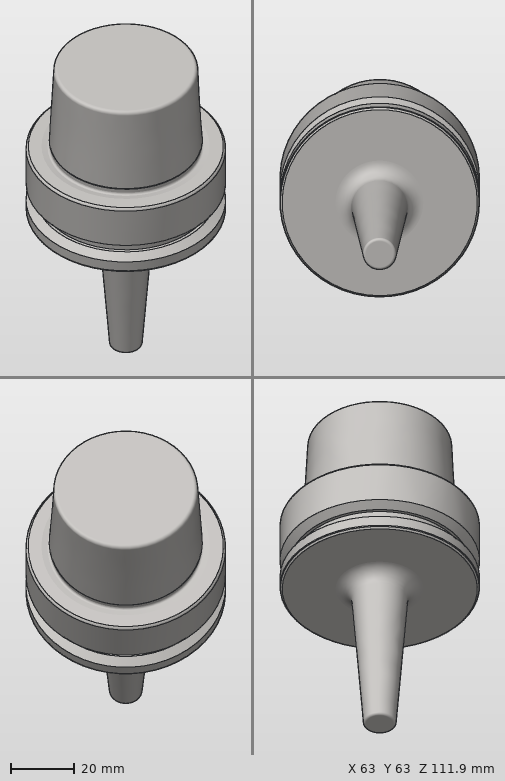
import cadquery as cq
import math

total_height = 111.9
flange_top = 80.0
flange_bottom = 54.0
taper_bottom = 82.4
neck_top = 81.8
groove_top = 65.2
groove_bottom = 58.5
groove_flank_angle = math.radians(30)

flange_radius = 31.5
groove_radius = 27.5
groove_wall_radius = 28.5
taper_base_radius = 24.2
taper_top_radius = 22.7
neck_radius = 23.8
relief_radius = 26.5
nose_tip_radius = 5.1
nose_root_radius = 9.2

relief_depth = 0.5
chamfer_height = 0.6
bevel_width = 0.17
bevel_height = 0.3
neck_root_fillet = 0.7
taper_top_fillet = 1.2
nose_tip_fillet = 0.9
nose_root_fillet = 5.0


def make_head():
    """Taper, neck and grooved flange, revolved about Z."""
    flank_height = (flange_radius - groove_wall_radius) * math.tan(groove_flank_angle)
    chamfer_radius = flange_radius - bevel_width
    face_radius = chamfer_radius - chamfer_height
    rim_inset = chamfer_height + bevel_height
    profile = [
        (0, flange_bottom),
        (face_radius, flange_bottom),
        (chamfer_radius, flange_bottom + chamfer_height),
        (flange_radius, flange_bottom + rim_inset),
        (flange_radius, groove_bottom),
        (groove_wall_radius, groove_bottom + flank_height),
        (groove_radius, groove_bottom + flank_height),
        (groove_radius, groove_top - flank_height),
        (groove_wall_radius, groove_top - flank_height),
        (flange_radius, groove_top),
        (flange_radius, flange_top - rim_inset),
        (chamfer_radius, flange_top - chamfer_height),
        (face_radius, flange_top),
        (relief_radius, flange_top),
        (neck_radius, flange_top - relief_depth),
        (neck_radius, neck_top),
        (taper_base_radius, taper_bottom),
        (taper_top_radius, total_height),
        (0, total_height),
    ]
    head = cq.Workplane("XZ").polyline(profile).close().revolve(360, (0, 0, 0), (0, 1, 0))
    head = head.faces(">Z").edges().fillet(taper_top_fillet)
    neck_root = flange_top - relief_depth
    root_zone = cq.selectors.BoxSelector(
        (-flange_radius, -flange_radius, neck_root - relief_depth / 2),
        (flange_radius, flange_radius, neck_root + relief_depth / 2),
        boundingbox=True,
    )
    return head.edges(root_zone).fillet(neck_root_fillet)


def make_nose():
    """Slender cone widening upwards into the flange through a tangent arc."""
    slope = math.atan((nose_root_radius - nose_tip_radius) / flange_bottom)
    centre_z = flange_bottom - nose_root_fillet
    cone_radius = nose_tip_radius + centre_z * math.tan(slope)
    centre_r = cone_radius + nose_root_fillet / math.cos(slope)

    def arc_point(angle):
        return (
            centre_r - nose_root_fillet * math.cos(angle),
            centre_z + nose_root_fillet * math.sin(angle),
        )

    flange_tangent = math.pi / 2
    start = arc_point(slope)
    middle = arc_point((slope + flange_tangent) / 2)
    end = arc_point(flange_tangent)
    nose = (
        cq.Workplane("XZ")
        .moveTo(0, 0)
        .lineTo(nose_tip_radius, 0)
        .lineTo(*start)
        .threePointArc(middle, end)
        .lineTo(0, flange_bottom)
        .close()
        .revolve(360, (0, 0, 0), (0, 1, 0))
    )
    return nose.faces("<Z").edges().fillet(nose_tip_fillet)


result = make_head().union(make_nose())